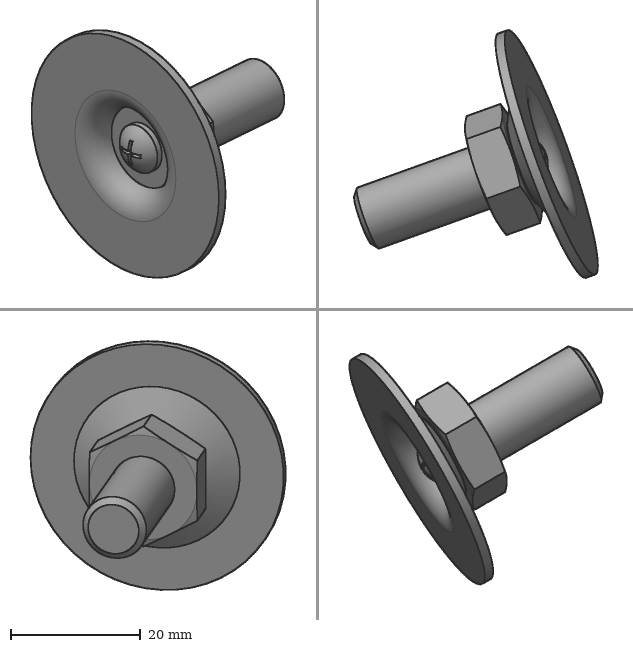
import cadquery as cq
import math

plate_diameter = 40.0
plate_thickness = 1.5
cone_base_radius = 13.1
cone_top_radius = 6.7
cone_top_y = 4.7

recess_floor_radius = 6.75
recess_depth = 4.0

head_diameter = 8.0
head_rim_height = 1.0
dome_height = 2.1
cross_length = 4.0
cross_width = 0.55
cross_depth = 1.0

nut_across_flats = 17.0
nut_base_y = 4.8
nut_top_y = 11.0
nut_corner_chamfer = 0.3

stud_diameter = 10.0
stud_length = 20.0
stud_tip_radius = 4.0
stud_tip_height = 0.85


def revolve_about_y(profile):
    return profile.close().revolve(360, (0, 0, 0), (0, 1, 0))


def make_foot():
    body = revolve_about_y(
        cq.Workplane("XY")
        .lineTo(plate_diameter / 2, 0)
        .lineTo(plate_diameter / 2, plate_thickness)
        .lineTo(cone_base_radius, plate_thickness)
        .lineTo(cone_top_radius, cone_top_y)
        .lineTo(cone_top_radius, nut_base_y)
        .lineTo(0, nut_base_y)
    )
    recess_mouth_radius = recess_floor_radius + recess_depth
    arc_offset = recess_depth * math.sin(math.radians(45))
    arc_middle = (recess_mouth_radius - arc_offset, recess_depth - arc_offset)
    recess = revolve_about_y(
        cq.Workplane("XY")
        .lineTo(recess_mouth_radius, 0)
        .threePointArc(arc_middle, (recess_floor_radius, recess_depth))
        .lineTo(0, recess_depth)
    )
    return body.cut(recess)


def make_head():
    head_radius = head_diameter / 2
    sphere_radius = (head_radius**2 + dome_height**2) / (2 * dome_height)
    rim_y = recess_depth - head_rim_height
    crown_y = rim_y - dome_height
    half_angle = math.asin(head_radius / sphere_radius) / 2
    arc_middle = (
        sphere_radius * math.sin(half_angle),
        crown_y + sphere_radius * (1 - math.cos(half_angle)),
    )
    head = revolve_about_y(
        cq.Workplane("XY")
        .moveTo(0, crown_y)
        .threePointArc(arc_middle, (head_radius, rim_y))
        .lineTo(head_radius, recess_depth)
        .lineTo(0, recess_depth)
    )
    for length_x, length_z in ((cross_length, cross_width), (cross_width, cross_length)):
        slot = cq.Workplane("XY").box(length_x, cross_depth, length_z)
        head = head.cut(slot.translate((0, crown_y + cross_depth / 2, 0)))
    return head


def make_nut():
    corner_radius = nut_across_flats / math.sqrt(3)
    flat_radius = nut_across_flats / 2
    height = nut_top_y - nut_base_y
    hexagon = (
        cq.Workplane("XZ", origin=(0, nut_top_y, 0))
        .polygon(6, 2 * corner_radius)
        .extrude(height)
        .rotate((0, 0, 0), (0, 1, 0), 30)
    )
    bevelled_disc = revolve_about_y(
        cq.Workplane("XY")
        .moveTo(0, nut_base_y)
        .lineTo(flat_radius, nut_base_y)
        .lineTo(corner_radius, nut_base_y + nut_corner_chamfer)
        .lineTo(corner_radius, nut_top_y - nut_corner_chamfer)
        .lineTo(flat_radius, nut_top_y)
        .lineTo(0, nut_top_y)
    )
    return hexagon.intersect(bevelled_disc)


def make_stud():
    stud_end_y = nut_top_y + stud_length
    stud_radius = stud_diameter / 2
    return revolve_about_y(
        cq.Workplane("XY")
        .moveTo(0, nut_base_y)
        .lineTo(stud_radius, nut_base_y)
        .lineTo(stud_radius, stud_end_y - stud_tip_height)
        .lineTo(stud_tip_radius, stud_end_y)
        .lineTo(0, stud_end_y)
    )


result = make_foot().union(make_head()).union(make_nut()).union(make_stud())